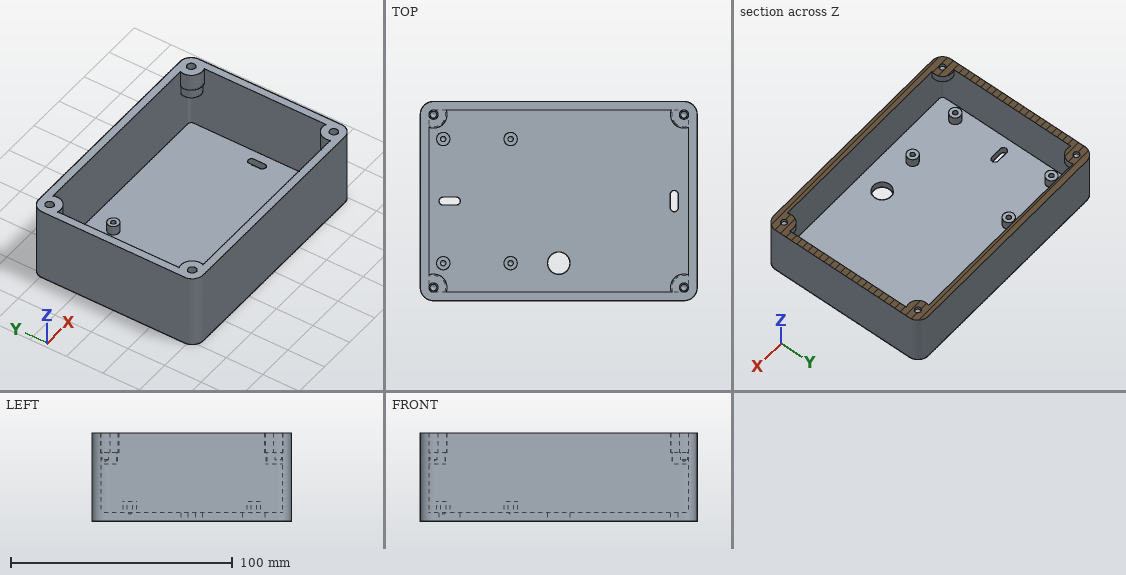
import cadquery as cq
import math

LENGTH = 125.0
WIDTH = 90.0
HEIGHT = 40.0
WALL = 4.0
FLOOR = WALL
OUTER_RADIUS = 6.0
INNER_RADIUS = OUTER_RADIUS - WALL

BOSS_RADIUS = 6.1
BOSS_DEPTH = 9.0
BOSS_TIP_RADIUS = 5.5
BOSS_TOTAL_DEPTH = 14.2
SCREW_HOLE_DIAMETER = 4.2
SCREW_HOLE_DEPTH = 9.0
SCREW_PILOT_DIAMETER = 3.0
SCREW_PILOT_DEPTH = 12.0

DRILL_POINT_ANGLE = 118.0

STANDOFF_DIAMETER = 6.0
STANDOFF_HEIGHT = 5.0
STANDOFF_HOLE_DIAMETER = 2.4
STANDOFF_HOLE_DEPTH = STANDOFF_HEIGHT
STANDOFF_FIRST_X = -52.1
STANDOFF_SPACING_X = 30.4
STANDOFF_SPACING_Y = 56.0

SLOT_LENGTH = 9.5
SLOT_WIDTH = 3.5
LEFT_SLOT_X = -49.2
RIGHT_SLOT_X = 52.1
CABLE_HOLE_DIAMETER = 10.0
CABLE_HOLE_Y = -STANDOFF_SPACING_Y / 2

BOSS_CENTERS = [
    (side_x * (LENGTH / 2 - OUTER_RADIUS), side_y * (WIDTH / 2 - OUTER_RADIUS))
    for side_x in (-1, 1)
    for side_y in (-1, 1)
]
STANDOFF_CENTERS = [
    (x, side_y * STANDOFF_SPACING_Y / 2)
    for x in (STANDOFF_FIRST_X, STANDOFF_FIRST_X + STANDOFF_SPACING_X)
    for side_y in (-1, 1)
]


def rounded_block(length, width, height, radius):
    """Block standing on Z = 0 with rounded vertical edges."""
    block = cq.Workplane("XY").box(length, width, height, centered=(True, True, False))
    return block.edges("|Z").fillet(radius)


def cylinders(centers, diameter, bottom, top):
    """Vertical cylinders at the given centers between two heights."""
    plane = cq.Workplane("XY").workplane(offset=bottom)
    return plane.pushPoints(centers).circle(diameter / 2).extrude(top - bottom)


def drilled_holes(centers, diameter, depth, top):
    """Cutters for blind holes with a conical bottom below the full-diameter depth."""
    radius = diameter / 2
    bottom = top - depth
    point_length = radius / math.tan(math.radians(DRILL_POINT_ANGLE / 2))
    point = cq.Solid.makeCone(0, radius, point_length)
    points = cq.Workplane("XY").workplane(offset=bottom - point_length).pushPoints(centers)
    points = points.eachpoint(lambda location: point.located(location))
    return cylinders(centers, diameter, bottom, top).union(points)


def floor_slot(x, angle):
    """Cutter for a round-ended slot through the floor on the X axis."""
    return cq.Workplane("XY").center(x, 0).slot2D(SLOT_LENGTH, SLOT_WIDTH, angle).extrude(FLOOR)


def open_box():
    """Tray with a flat floor and open top."""
    cavity = rounded_block(LENGTH - 2 * WALL, WIDTH - 2 * WALL, HEIGHT - FLOOR, INNER_RADIUS)
    return rounded_block(LENGTH, WIDTH, HEIGHT, OUTER_RADIUS).cut(cavity.translate((0, 0, FLOOR)))


def add_bosses(body):
    """Stepped corner bosses hanging from the rim, with blind stepped screw holes."""
    outline = rounded_block(LENGTH, WIDTH, HEIGHT, OUTER_RADIUS)
    collars = cylinders(BOSS_CENTERS, 2 * BOSS_RADIUS, HEIGHT - BOSS_DEPTH, HEIGHT)
    tips = cylinders(BOSS_CENTERS, 2 * BOSS_TIP_RADIUS, HEIGHT - BOSS_TOTAL_DEPTH, HEIGHT)
    holes = cylinders(BOSS_CENTERS, SCREW_HOLE_DIAMETER, HEIGHT - SCREW_HOLE_DEPTH, HEIGHT)
    pilots = drilled_holes(BOSS_CENTERS, SCREW_PILOT_DIAMETER, SCREW_PILOT_DEPTH, HEIGHT)
    return body.union(collars.union(tips).intersect(outline)).cut(holes).cut(pilots)


def add_standoffs(body):
    """Board standoffs on the floor, each with a blind screw hole."""
    top = FLOOR + STANDOFF_HEIGHT
    posts = cylinders(STANDOFF_CENTERS, STANDOFF_DIAMETER, FLOOR, top)
    holes = drilled_holes(STANDOFF_CENTERS, STANDOFF_HOLE_DIAMETER, STANDOFF_HOLE_DEPTH, top)
    return body.union(posts).cut(holes)


def cut_floor_openings(body):
    """Two mounting slots and a round cable hole through the floor."""
    cable_hole = cylinders([(0, CABLE_HOLE_Y)], CABLE_HOLE_DIAMETER, 0, FLOOR)
    return body.cut(floor_slot(LEFT_SLOT_X, 0)).cut(floor_slot(RIGHT_SLOT_X, 90)).cut(cable_hole)


result = cut_floor_openings(add_standoffs(add_bosses(open_box())))